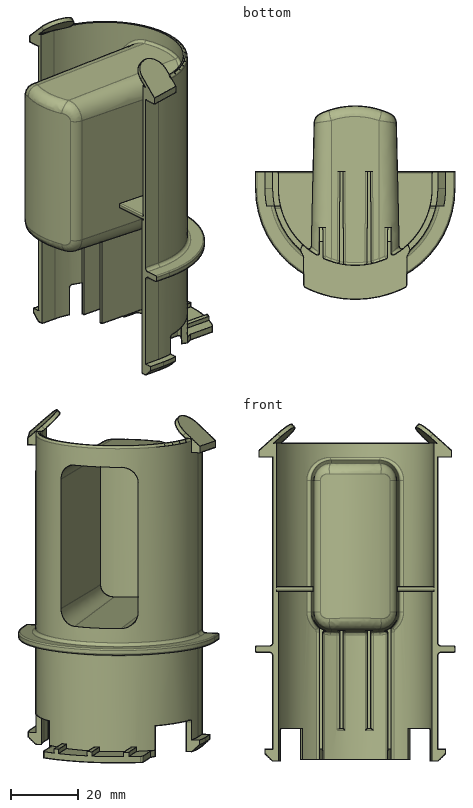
import cadquery as cq
import math

HEIGHT = 99.7
OUTER_R = 24.4
FRONT_Y = -5.0
UPPER_WALL = 1.2
LOWER_WALL = 1.7
RIM_Z = 94.1
RIM_FILLET = 0.7
SHELF_Z = 50.2
SHELF_THICKNESS = 1.5
SHELF_EDGE = 0.4

COLLAR_R = 29.5
COLLAR_Z = 32.2
COLLAR_THICKNESS = 1.9
COLLAR_ROOT = 1.0
COLLAR_EDGE = 0.4

BOX_HALF_WIDTH = 12.1
BOX_HALF_HEIGHT = 24.4
BOX_CENTER_Z = 63.6
BOX_DRAFT = 1.3
BOX_WALL = 1.3
BOX_BAR_LENGTH = 59.8
BOX_CORNER_R = 5.0
BOX_FRONT_FILLET = 3.2
BOX_ROOT_FILLET = 0.8

LEG_BACK_Y = 5.2
TAIL_HALF_WIDTH = 16.2
TAIL_SIDE_TURN = 22.0
TAIL_BOTTOM_Z = 0.5
WINDOW_TOP_Z = 9.7
WINDOW_FILLET = 0.8
BARB_R = 26.7
BARB_TOP_Z = 3.6
BARB_TIP_Z = 2.2

FOOT_R = 32.8
FOOT_HALF_WIDTH = 15.2
FOOT_TOP_Z = 2.4
FOOT_CORNER_R = 1.0
FOOT_FLARE = 2.0
BAR_TOP_Z = 3.7
BAR_WIDTH = 1.5
BAR_SPACING = 10.7

ROOT_BACK_Y = 14.9
EDGE_MARGIN = 0.1

DEEP_RIB_X = 4.1
RIB_ROOT = 1.2
RIB_TIP = 0.9
SHORT_RIB_X = 10.1
SHORT_RIB_FRONT_Y = 11.6
SHORT_RIB_CHAMFER_Y = 4.1
SHORT_RIB_CHAMFER_Z = 3.1
RIB_ROOT_FILLET = 0.6

CLIP_OUTER_X = 27.4
CLIP_BOTTOM_Z = 89.9
CLIP_NOSE_Z = 91.9
CLIP_SLOPE = 42.5
CLIP_THICKNESS = 1.3
CLIP_YAW = 12.0
CLIP_TIP_Z = 99.7


def block(x0, x1, y0, y1, z0, z1):
    return cq.Workplane("XY").box(x1 - x0, y1 - y0, z1 - z0, centered=False).translate((x0, y0, z0))


def both_sides(body):
    return body.union(body.mirror("YZ"))


def cylinder(radius):
    return cq.Workplane("XY").circle(radius).extrude(HEIGHT)


def half_round(section):
    """Revolve an (r, z) section half a turn about Z and run both ends straight to the front edge."""
    outline = section.val()
    turned = cq.Workplane("XZ").add(outline).toPending().revolve(180, (0, 0, 0), (0, 1, 0))
    straight = cq.Workplane("XZ").add(outline).toPending().extrude(-FRONT_Y)
    return turned.union(both_sides(straight))


def half_round_solid(points):
    return half_round(cq.Workplane("XZ").polyline(points).close())


def half_disc(radius, z0, z1):
    """A filled half-round core of the given radius between two heights."""
    disc = cylinder(radius).intersect(block(-radius, radius, 0, radius, 0, HEIGHT))
    core = disc.union(block(-radius, radius, FRONT_Y, 0, 0, HEIGHT))
    return core.intersect(block(-radius, radius, FRONT_Y, radius, z0, z1))


def make_sleeve():
    inner_top = OUTER_R - UPPER_WALL
    inner_low = OUTER_R - LOWER_WALL
    section = (
        cq.Workplane("XZ")
        .moveTo(inner_low, 0)
        .lineTo(OUTER_R, 0)
        .lineTo(OUTER_R, RIM_Z - RIM_FILLET)
        .radiusArc((OUTER_R - RIM_FILLET, RIM_Z), -RIM_FILLET)
        .lineTo(inner_top, RIM_Z)
        .lineTo(inner_top, SHELF_Z)
        .lineTo(inner_low, SHELF_Z)
        .close()
    )
    return half_round(section)


def make_collar():
    top = COLLAR_Z + COLLAR_THICKNESS
    root = OUTER_R + COLLAR_ROOT
    inside = OUTER_R - UPPER_WALL / 2
    edge = COLLAR_R - COLLAR_EDGE
    section = (
        cq.Workplane("XZ")
        .moveTo(inside, COLLAR_Z - COLLAR_ROOT)
        .lineTo(OUTER_R, COLLAR_Z - COLLAR_ROOT)
        .radiusArc((root, COLLAR_Z), COLLAR_ROOT)
        .lineTo(edge, COLLAR_Z)
        .radiusArc((COLLAR_R, COLLAR_Z + COLLAR_EDGE), -COLLAR_EDGE)
        .lineTo(COLLAR_R, top - COLLAR_EDGE)
        .radiusArc((edge, top), -COLLAR_EDGE)
        .lineTo(root, top)
        .radiusArc((OUTER_R, top + COLLAR_ROOT), COLLAR_ROOT)
        .lineTo(inside, top + COLLAR_ROOT)
        .close()
    )
    return half_round(section)


def make_shelf():
    shelf = half_disc(OUTER_R - UPPER_WALL / 2, SHELF_Z, SHELF_Z + SHELF_THICKNESS)
    return shelf.edges("<Y and |X").fillet(SHELF_EDGE)


def drafted_bar(inset):
    """A round-cornered bar along Y that widens toward the back; inset shrinks it on all sides."""
    front = cq.Plane(origin=(0, -OUTER_R, BOX_CENTER_Z), xDir=(1, 0, 0), normal=(0, 1, 0))
    outline = cq.Sketch().rect(2 * (BOX_HALF_WIDTH - inset), 2 * (BOX_HALF_HEIGHT - inset))
    outline = outline.vertices().fillet(BOX_CORNER_R - inset)
    return cq.Workplane(front).placeSketch(outline).extrude(BOX_BAR_LENGTH, taper=-BOX_DRAFT)


def make_box():
    body = drafted_bar(0).intersect(cylinder(OUTER_R))
    front_edges = body.faces("<Y").edges()
    return front_edges.fillet(BOX_FRONT_FILLET)


def make_box_cavity():
    behind = block(-OUTER_R, OUTER_R, 0, 2 * OUTER_R, 0, HEIGHT)
    return drafted_bar(BOX_WALL).intersect(cylinder(OUTER_R - BOX_WALL).union(behind))


def make_leg_barbs():
    barb = half_round_solid(
        [
            (OUTER_R - LOWER_WALL, 0),
            (OUTER_R, 0),
            (BARB_R, BARB_TIP_Z),
            (BARB_R, BARB_TOP_Z),
            (OUTER_R - LOWER_WALL, BARB_TOP_Z),
        ]
    )
    return barb.intersect(block(-BARB_R, BARB_R, FRONT_Y, LEG_BACK_Y, 0, HEIGHT))


def make_window_cuts():
    tail_y = math.sqrt(OUTER_R**2 - TAIL_HALF_WIDTH**2)
    tail_turn = math.tan(math.radians(TAIL_SIDE_TURN))
    plan = [
        (TAIL_HALF_WIDTH - (tail_y - LEG_BACK_Y) * tail_turn, LEG_BACK_Y),
        (2 * OUTER_R, LEG_BACK_Y),
        (2 * OUTER_R, OUTER_R),
        (TAIL_HALF_WIDTH + (OUTER_R - tail_y) * tail_turn, OUTER_R),
    ]
    window = cq.Workplane("XY").polyline(plan).close().extrude(WINDOW_TOP_Z)
    window = window.edges("<Y and >Z").fillet(WINDOW_FILLET)
    below_tail = block(-2 * OUTER_R, 2 * OUTER_R, LEG_BACK_Y, 2 * OUTER_R, 0, TAIL_BOTTOM_Z)
    return both_sides(window).union(below_tail)


def make_foot():
    plate = block(-FOOT_HALF_WIDTH, FOOT_HALF_WIDTH, LEG_BACK_Y, FOOT_R, TAIL_BOTTOM_Z, FOOT_TOP_Z)
    plate = plate.intersect(cylinder(FOOT_R))
    corners = plate.edges("|Z").edges(">Y")
    plate = corners.fillet(FOOT_CORNER_R)
    tail_y = math.sqrt(OUTER_R**2 - TAIL_HALF_WIDTH**2)
    flare_y = tail_y + FOOT_FLARE
    flare = [
        (-FOOT_HALF_WIDTH, flare_y),
        (FOOT_HALF_WIDTH, flare_y),
        (TAIL_HALF_WIDTH, tail_y),
        (-TAIL_HALF_WIDTH, tail_y),
    ]
    root = cq.Workplane("XY").workplane(offset=TAIL_BOTTOM_Z).polyline(flare).close()
    plate = plate.union(root.extrude(FOOT_TOP_Z - TAIL_BOTTOM_Z))
    for x in (-BAR_SPACING, 0, BAR_SPACING):
        bar = block(x - BAR_WIDTH / 2, x + BAR_WIDTH / 2, LEG_BACK_Y, FOOT_R, TAIL_BOTTOM_Z, BAR_TOP_Z)
        plate = plate.union(bar.intersect(cylinder(FOOT_R)))
    return plate.cut(cylinder(OUTER_R - LOWER_WALL))


def rib_prism(center_x, tip_y, bottom_z):
    """A vertical rib from tip_y to the wall, slightly thicker at the wall."""
    inner_r = OUTER_R - LOWER_WALL
    half_tip = RIB_TIP / 2
    half_root = RIB_ROOT / 2
    outline = [
        (center_x - half_tip, tip_y),
        (center_x + half_tip, tip_y),
        (center_x + half_root, inner_r),
        (center_x - half_root, inner_r),
    ]
    rib = cq.Workplane("XY").workplane(offset=bottom_z).polyline(outline).close()
    return rib.extrude(BOX_CENTER_Z - BOX_HALF_HEIGHT + BOX_WALL / 2 - bottom_z)


def make_ribs():
    deep = rib_prism(DEEP_RIB_X, FRONT_Y, WINDOW_TOP_Z)
    short = rib_prism(SHORT_RIB_X, SHORT_RIB_FRONT_Y, TAIL_BOTTOM_Z)
    chamfer = (
        cq.Workplane("YZ")
        .moveTo(SHORT_RIB_FRONT_Y, TAIL_BOTTOM_Z)
        .lineTo(SHORT_RIB_FRONT_Y + SHORT_RIB_CHAMFER_Y, TAIL_BOTTOM_Z)
        .lineTo(SHORT_RIB_FRONT_Y, TAIL_BOTTOM_Z + SHORT_RIB_CHAMFER_Z)
        .close()
        .extrude(OUTER_R)
    )
    ribs = both_sides(deep.union(short.cut(chamfer)))
    return ribs.intersect(cylinder(OUTER_R - LOWER_WALL / 2))


def make_clips():
    slope = math.radians(CLIP_SLOPE)
    rise = math.tan(slope)
    mid_y = (FRONT_Y + LEG_BACK_Y) / 2
    half_width = (LEG_BACK_Y - FRONT_Y) / 2
    tip_reach = (CLIP_TIP_Z - CLIP_NOSE_Z) / (rise * math.cos(math.radians(CLIP_YAW)))
    tip_x = CLIP_OUTER_X - tip_reach
    drop = CLIP_THICKNESS / math.cos(slope)
    inner_x = OUTER_R - UPPER_WALL
    crest_z = CLIP_NOSE_Z + CLIP_OUTER_X * rise

    profile = [
        (-CLIP_OUTER_X, CLIP_BOTTOM_Z),
        (-CLIP_OUTER_X, CLIP_NOSE_Z),
        (0, crest_z),
        (0, crest_z - drop),
        (-inner_x, crest_z - drop - inner_x * rise),
        (-inner_x, CLIP_BOTTOM_Z),
    ]
    clip = cq.Workplane("XZ", origin=(0, mid_y, 0)).polyline(profile).close().extrude(OUTER_R, both=True)
    clip = clip.rotate((-CLIP_OUTER_X, mid_y, 0), (-CLIP_OUTER_X, mid_y, 1), -CLIP_YAW)

    arm = cq.Plane(
        origin=(-tip_x, mid_y, CLIP_TIP_Z),
        xDir=(0, 1, 0),
        normal=(-math.sin(slope), 0, math.cos(slope)),
    )
    strip = (
        cq.Workplane(arm)
        .moveTo(-half_width, half_width)
        .threePointArc((0, 0), (half_width, half_width))
        .lineTo(half_width, OUTER_R)
        .lineTo(-half_width, OUTER_R)
        .close()
        .extrude(OUTER_R, both=True)
    )
    below_top = block(-2 * OUTER_R, 0, FRONT_Y, LEG_BACK_Y, 0, HEIGHT)
    clip = clip.intersect(strip).intersect(below_top)
    return both_sides(clip.cut(half_disc(inner_x, CLIP_BOTTOM_Z, RIM_Z)))


def fillet_inner_roots(body, half_width, z0, z1, radius):
    """Round the edges on the inner face of the back wall between two heights."""
    near = (-half_width, ROOT_BACK_Y, z0)
    far = (half_width, OUTER_R - UPPER_WALL / 2, z1)
    return body.edges(cq.selectors.BoxSelector(near, far)).fillet(radius)


body = make_sleeve().union(make_leg_barbs()).union(make_clips()).cut(make_window_cuts())

body = body.union(make_shelf()).union(make_box())
body = fillet_inner_roots(body, TAIL_HALF_WIDTH, SHELF_Z + SHELF_THICKNESS, RIM_Z, BOX_ROOT_FILLET)
body = fillet_inner_roots(body, TAIL_HALF_WIDTH, COLLAR_Z, SHELF_Z - EDGE_MARGIN, BOX_ROOT_FILLET)

body = body.union(make_ribs())
body = fillet_inner_roots(body, FOOT_HALF_WIDTH, TAIL_BOTTOM_Z + EDGE_MARGIN, COLLAR_Z, RIB_ROOT_FILLET)

result = body.union(make_collar()).union(make_foot()).cut(make_box_cavity())